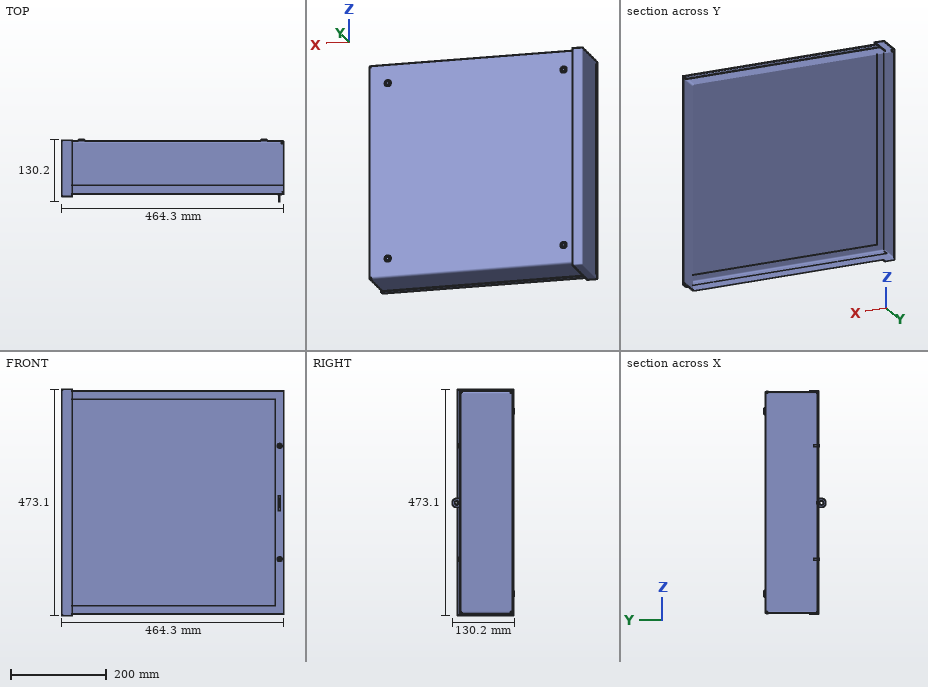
import cadquery as cq

sheet = 1.52
overall_x = 464.32
overall_y = 130.16
hood_height = 473.07
x_left = -overall_x / 2
x_right = overall_x / 2
y_dimple_tip = overall_y / 2
y_hasp_tip = -overall_y / 2

dimple_height = 3.1
dimple_base_diameter = 14.4
dimple_tip_diameter = 9.75
dimple_spacing = 381.0

hood_length = 22.2
hood_depth = 118.0
hood_bend = 2.4

cover_front_gap = 3.4
cover_side_gap = 1.5
cover_end_gap = 2.5
cover_lip = 18.4
cover_bend = 1.8

box_bend = 4.6
end_flange = 18.0
side_flange = 16.5
relief_diameter = 3.96
relief_inset = 3.6

screw_x = 223.2
screw_spacing = 236.6
head_diameter = 9.75
head_height = 1.4
head_top_diameter = 3.76
shank_diameter = 4.17
shank_length = 9.5

hasp_hole_diameter = 7.95
hasp_diameter = 19.05
hasp_thickness = 1.9
hasp_x = 222.6
hasp_z = -0.9
slot_width = 3.8
slot_length = 31.75
slot_z = -1.85

y_box_back = y_dimple_tip - dimple_height
y_hood_back = y_box_back + sheet
y_hood_front = y_hood_back - hood_depth
x_box_left = x_left + sheet
y_cover_front = y_hood_front + sheet + cover_front_gap
x_cover_left = x_box_left + cover_end_gap
y_box_front = y_cover_front + sheet
cover_height = hood_height - 2 * (sheet + cover_side_gap)
box_height = cover_height - 2 * sheet
screw_places = [(screw_x, side * screw_spacing / 2) for side in (-1, 1)]


def block(x0, x1, y0, y1, height):
    """Box between two X and two Y planes, centred on Z = 0."""
    return cq.Workplane("XY").box(x1 - x0, y1 - y0, height).translate(((x0 + x1) / 2, (y0 + y1) / 2, 0))


def along_y(y_start):
    """Sketch plane facing -Y at the given Y; local x is X and local y is Z."""
    return cq.Workplane("XZ", origin=(0, y_start, 0))


def screw_holes(y_start):
    """Holes through one sheet, reaching from y_start toward +Y."""
    return along_y(y_start).pushPoints(screw_places).circle(shank_diameter / 2).extrude(-sheet)


def dimple(base_diameter, tip_diameter, y_base):
    """Truncated cone rising toward +Y from y_base."""
    return cq.Workplane(
        cq.Solid.makeCone(
            base_diameter / 2, tip_diameter / 2, dimple_height, cq.Vector(0, y_base, 0), cq.Vector(0, 1, 0)
        )
    )


def make_box():
    """Tray with bent edges and a rim around its front opening."""
    outer = block(x_box_left, x_right, y_box_front, y_box_back, box_height)
    outer = outer.edges("not (>X and <Y)").fillet(box_bend)
    cavity = block(
        x_box_left + sheet, x_right - sheet, y_box_front + sheet, y_box_back - sheet, box_height - 2 * sheet
    )
    cavity = cavity.edges("not (>X and <Y)").fillet(box_bend - sheet)
    opening = block(
        x_box_left + end_flange,
        x_right - end_flange,
        y_box_front,
        y_box_front + 2 * sheet,
        box_height - 2 * side_flange,
    )
    body = outer.cut(cavity).cut(opening)

    half = dimple_spacing / 2
    for x, z in [(-half, -half), (-half, half), (half, -half), (half, half)]:
        shell = dimple(dimple_base_diameter, dimple_tip_diameter, y_box_back)
        hollow = dimple(dimple_base_diameter - 2 * sheet, dimple_tip_diameter - 2 * sheet, y_box_back - sheet)
        body = body.union(shell.translate((x, 0, z)))
        body = body.cut(hollow.translate((x, 0, z)))

    relief = (
        cq.Workplane("XY")
        .center(x_right - relief_inset, y_box_back - relief_inset)
        .circle(relief_diameter / 2)
        .extrude(box_height, both=True)
    )
    seat_plane = along_y(y_box_front).center(hasp_x, hasp_z)
    hasp_seat = seat_plane.rect(hasp_thickness, hasp_diameter).extrude(-sheet)
    return body.cut(relief).cut(screw_holes(y_box_front)).cut(hasp_seat)


def make_hood():
    """Cap over the end of the box, open toward +X."""
    x_rim = x_left + hood_length
    outer = block(x_left, x_rim, y_hood_front, y_hood_back, hood_height)
    outer = outer.edges("|X or <X").fillet(hood_bend)
    cavity = block(
        x_left + sheet, x_rim, y_hood_front + sheet, y_hood_back - sheet, hood_height - 2 * sheet
    )
    cavity = cavity.edges("|X or <X").fillet(hood_bend - sheet)
    return outer.cut(cavity)


def make_cover():
    """Flat panel with a lip along each side, its end tucked into the hood."""
    y_lip_end = y_cover_front + cover_lip
    outer = block(x_cover_left, x_right, y_cover_front, y_lip_end, cover_height)
    outer = outer.edges("|X and <Y").fillet(cover_bend)
    inside = block(x_cover_left, x_right, y_box_front, y_lip_end, box_height)
    slot = along_y(y_cover_front).center(hasp_x, slot_z).rect(slot_width, slot_length).extrude(-sheet)
    return outer.cut(inside).cut(screw_holes(y_cover_front)).cut(slot)


def make_screw(x, z):
    """Screw with a tapered head resting on the cover."""
    head = (
        along_y(y_cover_front)
        .circle(head_diameter / 2)
        .workplane(offset=head_height)
        .circle(head_top_diameter / 2)
        .loft()
    )
    shank = along_y(y_cover_front).circle(shank_diameter / 2).extrude(-shank_length)
    return head.union(shank).translate((x, 0, z))


def make_hasp():
    """Padlock eye: a plate seated in the box rim, standing out through the cover slot."""
    y_eye = y_hasp_tip + hasp_diameter / 2
    y_foot = y_box_front + sheet
    plane = cq.Workplane("YZ", origin=(hasp_x - hasp_thickness / 2, y_eye, hasp_z))
    tail_length = y_foot - y_eye
    tail = plane.center(tail_length / 2, 0).rect(tail_length, hasp_diameter).extrude(hasp_thickness)
    eye = plane.circle(hasp_diameter / 2).extrude(hasp_thickness)
    hole = plane.circle(hasp_hole_diameter / 2).extrude(hasp_thickness)
    return tail.union(eye).cut(hole)


box = make_box()
hood = make_hood()
cover = make_cover()
hasp = make_hasp()
screws = [make_screw(x, z) for x, z in screw_places]

result = cq.Compound.makeCompound(
    [box.val(), hood.val(), cover.val(), hasp.val(), *[screw.val() for screw in screws]]
)